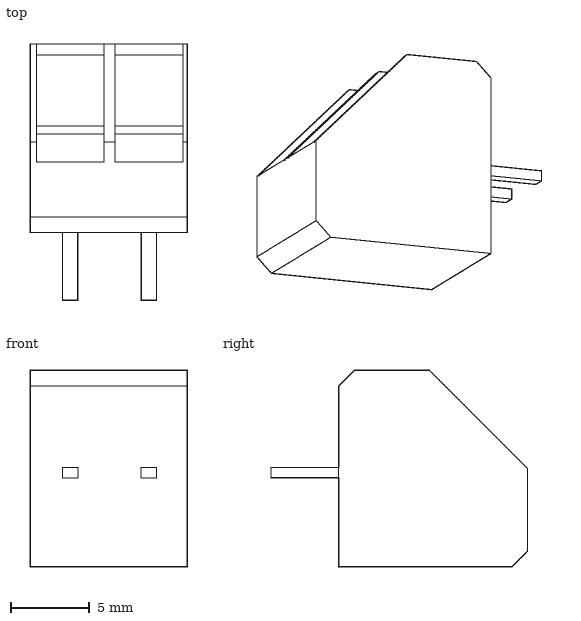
import cadquery as cq
import math

width = 10.0
height = 12.5
total_length = 16.3
pin_length = 4.3
body_length = total_length - pin_length
edge_chamfer = 1.0
slope_run = 6.25

pole_pitch = 5.0
pole_shift = 0.05
pole_centers = [pole_shift - pole_pitch / 2, pole_shift + pole_pitch / 2]

pin_width = 1.0
pin_height = 0.67
pin_center_z = 6.0

pocket_width = 4.3
lip_run = 0.7
ramp_run = 2.2
hump_radius = 2.0
hump_back_angle = math.radians(20)
hump_back_run = 0.21
step_angle = math.radians(11.6)
step_run = 0.52
upper_ramp_run = 1.76
slope_angle = math.radians(45)


def make_body():
    outline = [
        (0, 0),
        (body_length - edge_chamfer, 0),
        (body_length, edge_chamfer),
        (body_length, height - slope_run),
        (body_length - slope_run, height),
        (edge_chamfer, height),
        (0, height - edge_chamfer),
    ]
    return cq.Workplane("YZ").polyline(outline).close().extrude(width / 2, both=True)


def make_pocket(center_x):
    """Cutter whose lower side is the pocket floor: ramp, rounded hump, step and upper ramp."""
    lip = (body_length, height - slope_run)
    ramp_foot = (lip[0] - lip_run, lip[1] - lip_run)
    hump_start = (ramp_foot[0] - ramp_run, ramp_foot[1] + ramp_run)

    axis_y = hump_start[0] - hump_radius * math.sin(slope_angle)
    axis_z = hump_start[1] - hump_radius * math.cos(slope_angle)
    hump_top = (axis_y, axis_z + hump_radius)
    hump_end = (
        axis_y - hump_radius * math.sin(hump_back_angle),
        axis_z + hump_radius * math.cos(hump_back_angle),
    )

    valley = (
        hump_end[0] - hump_back_run,
        hump_end[1] - hump_back_run * math.tan(hump_back_angle),
    )
    step_end = (valley[0] - step_run, valley[1] + step_run * math.tan(step_angle))
    back_wall_foot = (step_end[0] - upper_ramp_run, step_end[1] + upper_ramp_run)

    return (
        cq.Workplane("YZ", origin=(center_x, 0, 0))
        .moveTo(*lip)
        .lineTo(*ramp_foot)
        .lineTo(*hump_start)
        .threePointArc(hump_top, hump_end)
        .lineTo(*valley)
        .lineTo(*step_end)
        .lineTo(*back_wall_foot)
        .lineTo(back_wall_foot[0], height)
        .lineTo(body_length, height)
        .close()
        .extrude(pocket_width / 2, both=True)
    )


def make_pin(center_x):
    return (
        cq.Workplane("XY")
        .box(pin_width, pin_length, pin_height)
        .translate((center_x, -pin_length / 2, pin_center_z))
    )


result = make_body()
for center in pole_centers:
    result = result.cut(make_pocket(center)).union(make_pin(center))